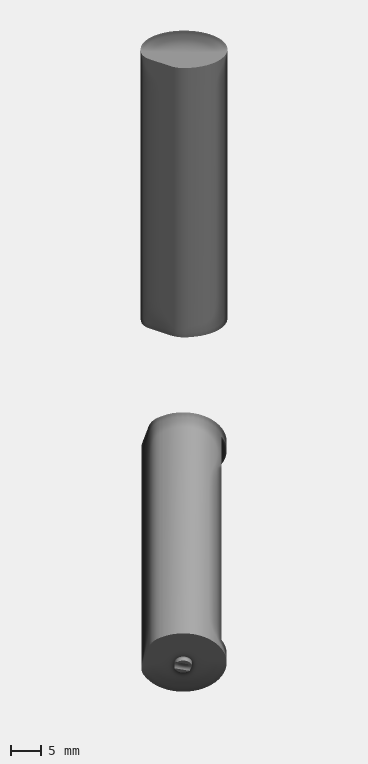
import cadquery as cq
import math

total_length = 50.6
body_radius = 7.25
flat_offset = 6.55
chord_offset = 4.95
flat_half_width = 2.2
back_offset = 5.3
end_flange_height = 2.0
pin_diameter = 3.0
pin_height = 0.9
notch_width = 1.5
notch_depth = 0.4

body_length = total_length - pin_height


def make_body():
    """Round bar with a front flat, blended into the round by short tangent faces and arcs."""
    chord_half_width = math.sqrt(body_radius**2 - chord_offset**2)
    slope_angle = math.atan2(chord_half_width, chord_offset)
    corner_x = chord_half_width - (flat_offset - chord_offset) / math.tan(slope_angle)
    blend_length = corner_x - flat_half_width
    blend_radius = blend_length / math.tan(slope_angle / 2)
    blend_end_x = corner_x + blend_length * math.cos(slope_angle)
    blend_end_y = -flat_offset + blend_length * math.sin(slope_angle)
    blend_mid_x = flat_half_width + blend_radius * math.sin(slope_angle / 2)
    blend_mid_y = -flat_offset + blend_radius * (1 - math.cos(slope_angle / 2))
    return (
        cq.Workplane("XY")
        .moveTo(-flat_half_width, -flat_offset)
        .lineTo(flat_half_width, -flat_offset)
        .threePointArc((blend_mid_x, blend_mid_y), (blend_end_x, blend_end_y))
        .lineTo(chord_half_width, -chord_offset)
        .threePointArc((0, body_radius), (-chord_half_width, -chord_offset))
        .lineTo(-blend_end_x, blend_end_y)
        .threePointArc((-blend_mid_x, blend_mid_y), (-flat_half_width, -flat_offset))
        .close()
        .extrude(body_length)
    )


def make_back_recess():
    """Block that cuts the back flat between the two end flanges."""
    recess_length = body_length - 2 * end_flange_height
    return (
        cq.Workplane("XY")
        .box(2 * body_radius, body_radius, recess_length, centered=(True, False, False))
        .translate((0, back_offset, end_flange_height))
    )


def make_pin():
    """Short round pin under the body with an arched notch across its end."""
    pin = cq.Workplane("XY").circle(pin_diameter / 2).extrude(-pin_height)
    notch_radius = ((notch_width / 2)**2 + notch_depth**2) / (2 * notch_depth)
    notch_center_z = -pin_height + notch_depth - notch_radius
    notch = (
        cq.Workplane("XZ")
        .center(0, notch_center_z)
        .circle(notch_radius)
        .extrude(pin_diameter / 2, both=True)
    )
    return pin.cut(notch)


result = make_body().cut(make_back_recess()).union(make_pin())